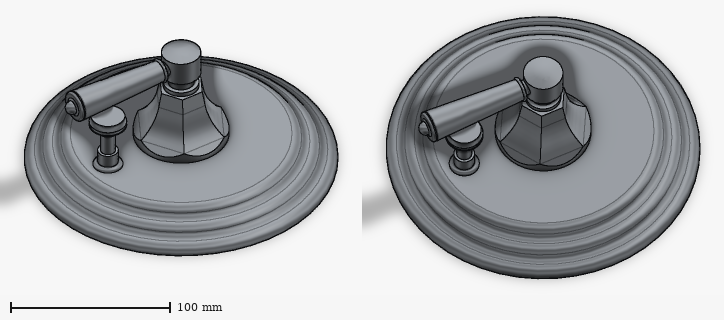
import cadquery as cq
import math

plate_radius = 98.5
plate_height = 19.7
rim_round = 6.5
step_count = 2
step_width = 11.2
shoulder_share = 0.54
step_height = (plate_height - rim_round) / step_count

foot_radius = 30.1
bell_base_half_width = foot_radius * math.cos(math.radians(30))
bell_base_z = 27.2
bell_waist_half_width = 14.5
bell_waist_z = 47.8
bell_top_half_width = 12.8
bell_top_z = 58.0

collar_radius = 11.2
collar_top_z = 61.0
neck_radius = 8.3
head_radius = 12.4
head_bottom_z = 68.7
head_edge_z = 84.8
head_top_z = 86.8

lever_axis_z = (head_bottom_z + head_edge_z) / 2
lever_neck_radius = 5.0
lever_neck_end = 12.5
ring_start = 14.8
ring_end = 17.0
ring_foot_radius = 6.1
ring_side_radius = 7.0
ring_crest_radius = 8.0
grip_end = 78.1
groove_start = 78.7
groove_end = 79.5
groove_depth = 0.2
disc_end = 81.1
disc_radius = head_top_z - lever_axis_z
disc_round = 1.4
finial_foot_radius = 6.1
finial_radius = 4.5
finial_start = 81.9

knob_y = -55.1
knob_flange_radius = 9.5
knob_flange_height = 2.4
knob_flange_round = 3.0
sleeve_radius = 6.5
sleeve_top_z = 30.7
stem_radius = 4.7
cone_bottom_radius = 6.0
cone_bottom_z = 45.7
cone_top_radius = 11.2
knob_radius = 11.8
band_bottom_z = 51.2
band_top_z = 54.0
band_waist_radius = 11.6
knob_rim_radius = 10.8
knob_rim_z = 57.5
knob_flare_radius = 7.9
knob_top_radius = 10.6
knob_top_z = bell_top_z


def turn(profile):
    """Revolve a closed (radius, height) profile about the Z axis."""
    return profile.revolve(360, (0, 0, 0), (0, 1, 0))


def cylinder(radius, bottom, top):
    return cq.Workplane("XY").workplane(offset=bottom).circle(radius).extrude(top - bottom)


def make_plate():
    top_radius = plate_radius - rim_round - step_count * step_width
    profile = cq.Workplane("XZ").lineTo(0, plate_height).lineTo(top_radius, plate_height)
    for step in range(step_count):
        radius = top_radius + step * step_width
        height = plate_height - step * step_height
        shoulder_end = (radius + shoulder_share * step_width, height - shoulder_share * step_height)
        profile = profile.tangentArcPoint(shoulder_end, relative=False)
        profile = profile.tangentArcPoint((radius + step_width, height - step_height), relative=False)
    profile = profile.radiusArc((plate_radius, 0), rim_round)
    return turn(profile.close())


def make_bell():
    skirt_half_width = bell_base_half_width + bell_base_z - plate_height
    across_flats = (
        cq.Workplane("XZ")
        .moveTo(0, bell_top_z)
        .lineTo(bell_top_half_width, bell_top_z)
        .lineTo(bell_waist_half_width, bell_waist_z)
        .tangentArcPoint((bell_base_half_width, bell_base_z), relative=False)
        .lineTo(skirt_half_width, plate_height)
        .lineTo(0, plate_height)
        .mirrorY()
        .extrude(2 * foot_radius, both=True)
    )
    bell = cylinder(foot_radius, plate_height, bell_top_z)
    for angle in (0, 60, 120):
        bell = bell.intersect(across_flats.rotate((0, 0, 0), (0, 0, 1), angle))
    return bell


def make_spindle():
    dome_rise = head_top_z - head_edge_z
    dome_sphere_radius = (head_radius ** 2 + dome_rise ** 2) / (2 * dome_rise)
    dome_mid_angle = math.asin(head_radius / dome_sphere_radius) / 2
    dome_mid_radius = dome_sphere_radius * math.sin(dome_mid_angle)
    dome_mid_z = head_top_z - dome_sphere_radius * (1 - math.cos(dome_mid_angle))
    profile = (
        cq.Workplane("XZ")
        .moveTo(0, bell_top_z)
        .lineTo(collar_radius, bell_top_z)
        .lineTo(collar_radius, collar_top_z)
        .lineTo(neck_radius, collar_top_z)
        .lineTo(neck_radius, head_bottom_z)
        .lineTo(head_radius, head_bottom_z)
        .lineTo(head_radius, head_edge_z)
        .threePointArc((dome_mid_radius, dome_mid_z), (0, head_top_z))
        .close()
    )
    return turn(profile)


def make_lever():
    ring_middle = (ring_start + ring_end) / 2
    groove_middle = (groove_start + groove_end) / 2
    profile = (
        cq.Workplane("XZ")
        .lineTo(lever_neck_radius, 0)
        .lineTo(lever_neck_radius, lever_neck_end)
        .tangentArcPoint((ring_foot_radius, ring_start), relative=False)
        .lineTo(ring_side_radius, ring_start)
        .threePointArc((ring_crest_radius, ring_middle), (ring_side_radius, ring_end))
        .lineTo(disc_radius, grip_end)
        .lineTo(disc_radius, groove_start)
        .threePointArc((disc_radius - groove_depth, groove_middle), (disc_radius, groove_end))
        .lineTo(disc_radius, disc_end - disc_round)
        .radiusArc((disc_radius - disc_round, disc_end), -disc_round)
        .lineTo(finial_foot_radius, disc_end)
        .lineTo(finial_radius, finial_start)
        .radiusArc((0, finial_start + finial_radius), -finial_radius)
        .close()
    )
    lever = turn(profile).rotate((0, 0, 0), (1, 0, 0), 90)
    return lever.translate((0, 0, lever_axis_z))


def make_knob():
    flange_top_z = plate_height + knob_flange_height
    band_middle_z = (band_bottom_z + band_top_z) / 2
    profile = (
        cq.Workplane("XZ")
        .moveTo(0, plate_height)
        .lineTo(knob_flange_radius, plate_height)
        .radiusArc((knob_flange_radius - knob_flange_height, flange_top_z), -knob_flange_round)
        .lineTo(sleeve_radius, flange_top_z)
        .lineTo(sleeve_radius, sleeve_top_z)
        .lineTo(stem_radius, sleeve_top_z)
        .lineTo(stem_radius, cone_bottom_z)
        .lineTo(cone_bottom_radius, cone_bottom_z)
        .lineTo(cone_top_radius, band_bottom_z)
        .lineTo(knob_radius, band_bottom_z)
        .threePointArc((band_waist_radius, band_middle_z), (knob_radius, band_top_z))
        .radiusArc((knob_rim_radius, knob_rim_z), knob_flare_radius)
        .lineTo(knob_top_radius, knob_top_z)
        .lineTo(0, knob_top_z)
        .close()
    )
    return turn(profile).translate((0, knob_y, 0))


result = make_plate().union(make_bell()).union(make_spindle()).union(make_lever()).union(make_knob())